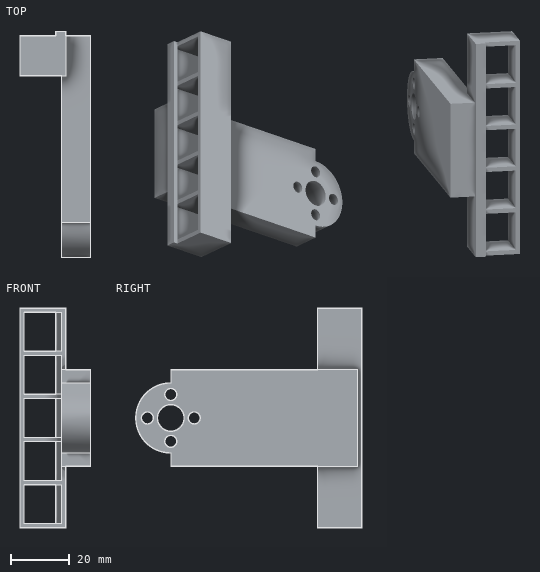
import cadquery as cq

frame_width = 15.7
frame_depth = 13.7
frame_height = 75.0
wall = 1.5
cell_count = 5

lip_width = 3.5
lip_depth = 1.5

arm_thickness = 10.0
arm_reach = 50.0
arm_height = 33.0
mount_radius = 12.0

bore_diameter = 9.0
screw_diameter = 4.0
screw_circle_diameter = 16.0
screw_count = 4

inner_width = frame_width - 2 * wall
inner_height = frame_height - 2 * wall
cell_height = (inner_height - (cell_count - 1) * wall) / cell_count
cell_pitch = cell_height + wall
arm_left = frame_width - wall
arm_length = frame_depth + arm_reach
mount_y = -arm_reach


def block(size_x, size_y, size_z, left, front):
    """Block centred on Z = 0 with its left and front faces at the given X and Y."""
    return (
        cq.Workplane("XY")
        .box(size_x, size_y, size_z, centered=(False, False, True))
        .translate((left, front, 0))
    )


def rod_along_x(diameter):
    """Rod on the mount axis, as long as the arm is thick."""
    return (
        cq.Workplane("YZ", origin=(arm_left, mount_y, 0))
        .circle(diameter / 2)
        .extrude(arm_thickness)
    )


def make_frame():
    """Box with a row of cells open at the front and the back, separated by thin ribs."""
    frame = block(frame_width, frame_depth, frame_height, 0, 0)
    for index in range(cell_count):
        cell_z = (index - (cell_count - 1) / 2) * cell_pitch
        cell = block(inner_width, frame_depth, cell_height, wall, 0)
        frame = frame.cut(cell.translate((0, 0, cell_z)))
    return frame


def make_lip():
    """Strip behind the right wall that partly covers the back of the cells."""
    return block(lip_width, lip_depth, frame_height, frame_width - lip_width, frame_depth)


def make_arm():
    """Flat arm with a rounded end, drilled for the bore and its ring of screws."""
    arm = block(arm_thickness, arm_length, arm_height, arm_left, mount_y)
    arm = arm.union(rod_along_x(2 * mount_radius))
    arm = arm.cut(rod_along_x(bore_diameter))
    screw_holes = (
        cq.Workplane("YZ", origin=(arm_left, mount_y, 0))
        .polarArray(screw_circle_diameter / 2, 0, 360, screw_count)
        .circle(screw_diameter / 2)
        .extrude(arm_thickness)
    )
    return arm.cut(screw_holes)


result = make_frame().union(make_lip()).union(make_arm())